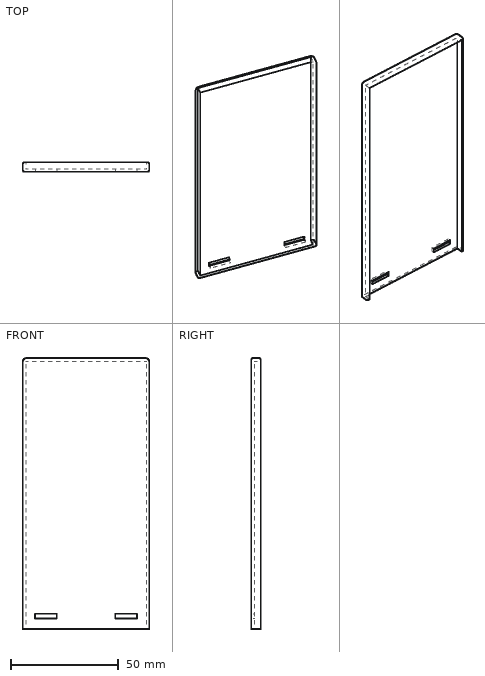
import cadquery as cq

width = 59.0
thickness = 4.5
height = 126.0
wall = 1.5

corner_radius = 2.0
edge_radius = 1.0

slot_length = 10.0
slot_height = 2.0
slot_spacing = 37.3
slot_center_height = 6.0


def make_plate():
    """Plate with rounded top corners and softened side and top edges."""
    plate = cq.Workplane("XY").box(width, thickness, height, centered=(True, True, False))
    plate = plate.faces(">Z").edges("|Y").fillet(corner_radius)

    outline_edges = plate.faces("<Y or >Y").edges("not <Z")
    return outline_edges.fillet(edge_radius)


def make_cavity():
    """Cutter that hollows the cover, open at the back (+Y) and the bottom."""
    cavity = cq.Workplane("XY").box(
        width - 2 * wall, thickness, height - wall, centered=(True, False, False)
    )
    return cavity.translate((0, wall - thickness / 2, 0))


def make_slots():
    """Cutters for the pair of slots through the front wall."""
    return (
        cq.Workplane("XZ")
        .pushPoints([(side * slot_spacing / 2, slot_center_height) for side in (-1, 1)])
        .rect(slot_length, slot_height)
        .extrude(thickness, both=True)
    )


result = make_plate().cut(make_cavity()).cut(make_slots())